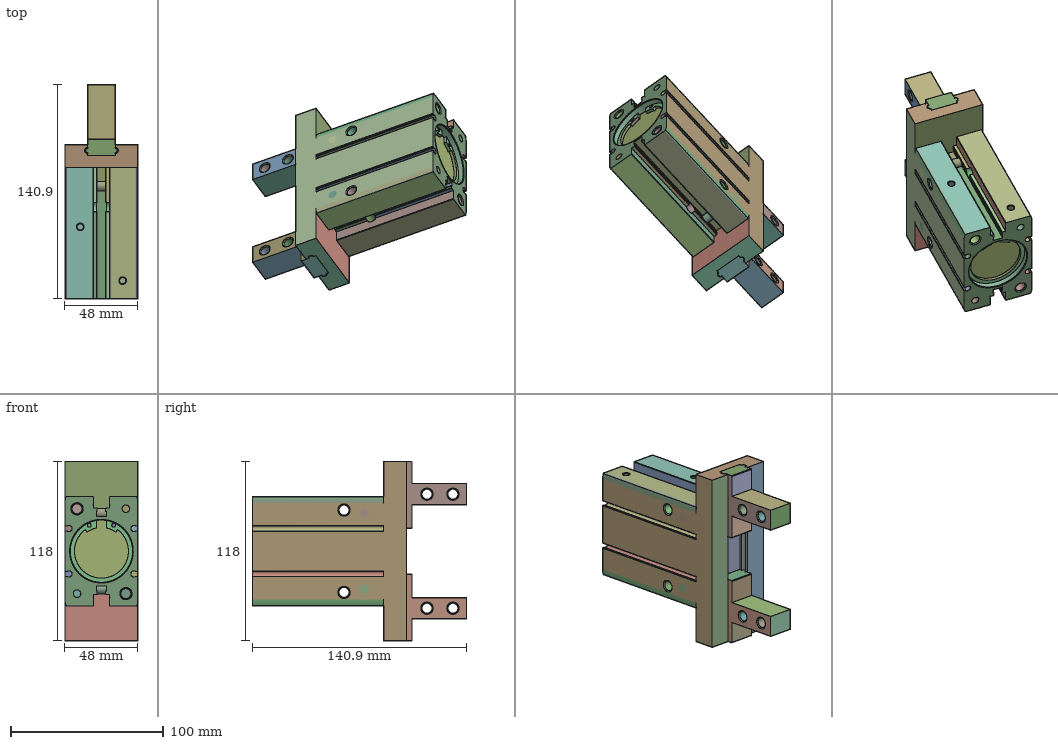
import cadquery as cq
import math


length = 140.9
width = 48.0
guide_height = 118.0

barrel_length = 86.4
barrel_height = 72.0
guide_end = 101.5
side_flat_height = 63.7
brow_width = 0.8
brow_drop = 0.4
shoulder_width = 0.7

slot_width = 10.7
slot_depth = 7.6
slot_neck_width = 5.6
slot_neck_depth = 10.0
slot_foot_width = 6.5
slot_foot_depth = 13.1
slot_edge_chamfer = 0.3

side_groove_z = 15.0
side_groove_diameter = 4.1
side_groove_centre_inset = 2.7
side_groove_mouth = 3.1

bore_diameter = 41.0
bore_chamfer = 0.4
ring_depth = 4.0
ring_thickness = 2.0
ring_inner_radius = 17.8
lug_inner_radius = 15.6
lug_half_angle = 37.0
ring_gap = 6.3
ring_hole_diameter = 2.5
ring_hole_x = 8.0
ring_hole_z = 17.0

end_hole_x = 16.0
end_hole_z = 27.9
end_hole_depth = 12.0
threaded_hole_diameter = 6.6
thread_chamfer = 0.7
dowel_hole_diameter = 5.0
cross_hole_y = 60.3
cross_hole_z = 27.0
port_diameter = 4.1
port_chamfer = 0.4
port_depth = 5.0
port_x = 14.0
port_front_y = 12.0
port_rear_y = 47.3

pin_diameter = 6.0
pin_y = 74.0
pin_z = 25.0

rail_width = 18.3
rail_bottom_y = 94.1
rail_top_y = 105.1
rail_inner_z = 15.1
rail_chamfer = 0.4
guide_groove_diameter = 4.1
bead_clearance = 0.4
bead_diameter = guide_groove_diameter - 2 * bead_clearance
bead_x = 8.9
bead_y = 97.5
finger_height = 14.1
finger_inner_z = 30.5
finger_hole_inset = 9.0
finger_hole_pitch = 17.0
finger_hole_count = 2

SIDES = (-1, 1)


def box(x_range, y_range, z_range):
    """Axis-aligned block between the given limits."""
    sizes = [high - low for low, high in (x_range, y_range, z_range)]
    corner = (x_range[0], y_range[0], z_range[0])
    return cq.Workplane("XY").box(*sizes, centered=False).translate(corner)


def centred(size):
    return (-size / 2, size / 2)


def rod(start, direction, diameter, rod_length):
    """Round bar from a start point along a direction."""
    return cq.Workplane(cq.Solid.makeCylinder(diameter / 2, rod_length, cq.Vector(*start), cq.Vector(*direction)))


def chamfered_hole(start, direction, diameter, depth, chamfer):
    """Cutter for a round hole with a 45 degree chamfer at its mouth."""
    cone = cq.Solid.makeCone(
        diameter / 2 + chamfer, diameter / 2, chamfer, cq.Vector(*start), cq.Vector(*direction)
    )
    return rod(start, direction, diameter, depth).union(cq.Workplane(cone))


def cross_hole(y, z, hole_width):
    """Cutter for a hole along X through hole_width, chamfered at both ends."""
    cutter = cq.Workplane("XY")
    for side in SIDES:
        start = (side * hole_width / 2, y, z)
        cutter = cutter.union(
            chamfered_hole(start, (-side, 0, 0), threaded_hole_diameter, hole_width / 2, thread_chamfer)
        )
    return cutter


def along_y(profile, y_start, y_end):
    """Extrude a closed XZ profile drawn on the Y = 0 plane between two Y positions."""
    return profile.extrude(-(y_end - y_start)).translate((0, y_start, 0))


def tangent_radius(along, across):
    """Radius of an arc that leaves a face tangentially and ends this far along and across it."""
    return (along**2 + across**2) / (2 * across)


def barrel():
    """Barrel whose long corners have a rounded brow, a crease and a larger rounded shoulder."""
    side_x = width / 2
    top_z = barrel_height / 2
    top_x = side_x - brow_width - shoulder_width
    crease_x = side_x - shoulder_width
    crease_z = top_z - brow_drop
    flat_z = side_flat_height / 2
    brow_radius = tangent_radius(brow_width, brow_drop)
    shoulder_radius = tangent_radius(crease_z - flat_z, shoulder_width)
    profile = (
        cq.Workplane("XZ")
        .moveTo(0, top_z)
        .lineTo(top_x, top_z)
        .radiusArc((crease_x, crease_z), brow_radius)
        .radiusArc((side_x, flat_z), shoulder_radius)
        .lineTo(side_x, -flat_z)
        .radiusArc((crease_x, -crease_z), shoulder_radius)
        .radiusArc((top_x, -top_z), brow_radius)
        .lineTo(0, -top_z)
        .mirrorY()
    )
    return along_y(profile, 0, barrel_length)


def sensor_slot(side):
    """Cutter for the stepped slot along the top (side = 1) or bottom (side = -1) of the barrel."""
    half_slot = slot_width / 2
    half_neck = slot_neck_width / 2
    half_foot = slot_foot_width / 2
    half_profile = [
        (half_slot + slot_edge_chamfer, 0),
        (half_slot, slot_edge_chamfer),
        (half_slot, slot_depth),
        (half_neck + slot_edge_chamfer, slot_depth),
        (half_neck, slot_depth + slot_edge_chamfer),
        (half_neck, slot_neck_depth),
        (half_foot, slot_neck_depth),
        (half_foot, slot_foot_depth),
    ]
    right = [(x, side * (barrel_height / 2 - depth)) for x, depth in half_profile]
    left = [(-x, z) for x, z in reversed(right)]
    return along_y(cq.Workplane("XZ").polyline(right + left).close(), 0, barrel_length)


def side_groove(side, z):
    """Cutter for one round groove with a narrower, chamfered mouth in a barrel side."""
    side_x = side * width / 2
    centre_x = side_x - side * side_groove_centre_inset
    round_part = rod((centre_x, 0, z), (0, 1, 0), side_groove_diameter, barrel_length)
    half_mouth = side_groove_mouth / 2
    flared_mouth = half_mouth + slot_edge_chamfer
    chamfer_x = side_x - side * slot_edge_chamfer
    mouth_points = [
        (centre_x, z - half_mouth),
        (chamfer_x, z - half_mouth),
        (side_x, z - flared_mouth),
        (side_x, z + flared_mouth),
        (chamfer_x, z + half_mouth),
        (centre_x, z + half_mouth),
    ]
    mouth = along_y(cq.Workplane("XZ").polyline(mouth_points).close(), 0, barrel_length)
    return round_part.union(mouth)


def retaining_ring():
    """Open ring in the bore, with two drilled lugs beside its gap."""
    start = (0, ring_depth, 0)
    ring = rod(start, (0, 1, 0), bore_diameter, ring_thickness)
    ring = ring.cut(rod(start, (0, 1, 0), 2 * lug_inner_radius, ring_thickness))
    reach = bore_diameter
    lug_angle = math.radians(lug_half_angle)
    lug_x = reach * math.sin(lug_angle)
    lug_z = reach * math.cos(lug_angle)
    lug_sector = along_y(
        cq.Workplane("XZ").polyline([(0, 0), (-lug_x, lug_z), (lug_x, lug_z)]).close(),
        ring_depth,
        ring_depth + ring_thickness,
    )
    thinning = rod(start, (0, 1, 0), 2 * ring_inner_radius, ring_thickness).cut(lug_sector)
    ring = ring.cut(thinning)
    ring = ring.cut(box(centred(ring_gap), (ring_depth, ring_depth + ring_thickness), (0, bore_diameter / 2)))
    for side in SIDES:
        hole_start = (side * ring_hole_x, ring_depth, ring_hole_z)
        ring = ring.cut(rod(hole_start, (0, 1, 0), ring_hole_diameter, ring_thickness))
    return ring


def rail_section(y_end, round_diameter):
    """Jaw guide section up to y_end: a rectangle with a round bulge on each side."""
    section = box(centred(rail_width), (rail_bottom_y, y_end), centred(guide_height))
    for side in SIDES:
        start = (side * bead_x, bead_y, -guide_height / 2)
        section = section.union(rod(start, (0, 0, 1), round_diameter, guide_height))
    return section


def make_housing():
    guide = box(centred(width), (barrel_length, guide_end), centred(guide_height))
    body = barrel().union(guide).cut(rail_section(guide_end, guide_groove_diameter))

    bore_floor = ring_depth + ring_thickness
    body = body.cut(chamfered_hole((0, 0, 0), (0, 1, 0), bore_diameter, bore_floor, bore_chamfer))
    body = body.union(retaining_ring())

    for side in SIDES:
        body = body.cut(sensor_slot(side))
        for z in (-side_groove_z, side_groove_z):
            body = body.cut(side_groove(side, z))

    for side in SIDES:
        threaded_start = (-side * end_hole_x, 0, side * end_hole_z)
        dowel_start = (side * end_hole_x, 0, side * end_hole_z)
        body = body.cut(
            chamfered_hole(threaded_start, (0, 1, 0), threaded_hole_diameter, end_hole_depth, thread_chamfer)
        )
        body = body.cut(rod(dowel_start, (0, 1, 0), dowel_hole_diameter, end_hole_depth))

    for side in SIDES:
        body = body.cut(cross_hole(cross_hole_y, side * cross_hole_z, width))

    for x, y in ((-port_x, port_rear_y), (port_x, port_front_y)):
        start = (x, y, barrel_height / 2)
        body = body.cut(chamfered_hole(start, (0, 0, -1), port_diameter, port_depth, port_chamfer))

    for side in SIDES:
        pin = rod((width / 2, pin_y, side * pin_z), (-1, 0, 0), pin_diameter, width)
        body = body.union(pin, clean=False)
    return body


def make_jaw(side):
    """Jaw on the +Z (side = 1) or -Z (side = -1) half of the guide."""
    outer_z = guide_height / 2
    rail_z = sorted((side * rail_inner_z, side * outer_z))
    finger_z = sorted((side * finger_inner_z, side * (finger_inner_z + finger_height)))
    travel = box(centred(width), (0, length), rail_z)
    rail = rail_section(rail_top_y, bead_diameter).intersect(travel)
    rail = rail.faces(">Y").edges("|X").chamfer(rail_chamfer)
    jaw = rail.union(box(centred(rail_width), (rail_top_y, length), finger_z))
    hole_z = side * (finger_inner_z + finger_height / 2)
    for index in range(finger_hole_count):
        hole_y = length - finger_hole_inset - index * finger_hole_pitch
        jaw = jaw.cut(cross_hole(hole_y, hole_z, rail_width))
    return jaw


housing = make_housing()
jaws = [make_jaw(side) for side in SIDES]

result = cq.Compound.makeCompound([housing.val(), *[jaw.val() for jaw in jaws]])